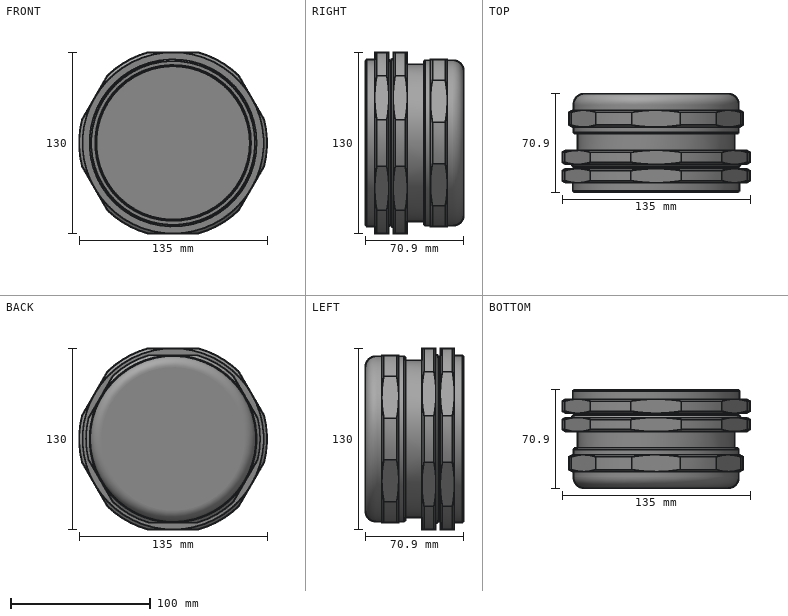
import cadquery as cq
import math

total_length = 70.85

ring_diameter = 120.0
ring_chamfer = 1.25
recess_diameter = 110.0
recess_rim_diameter = 112.0
recess_depth = 7.0

nut_thickness = 10.0
nut_across_flats = 130.0
front_nut_start = 6.9
rear_nut_start = 20.1

groove_diameter = 117.0
lip_diameter = 121.2
lip_radius = 1.5

neck_diameter = 113.0

cap_diameter = 119.0
cap_length = 29.0
cap_chamfer = 1.2
dome_radius = 8.0
cap_hex_across_flats = 120.0
cap_hex_thickness = 12.0
cap_hex_offset = 5.0

corner_allowance = 5.0
corner_chamfer_angle = math.radians(30)

front_nut_end = front_nut_start + nut_thickness
cap_start = total_length - cap_length


def turned(outline):
    """Revolve an outline of (radius, y) points about the Y axis."""
    return outline.close().revolve(360, (0, 0, 0), (0, 1, 0))


def hexagon_ring(across_flats, thickness, start):
    """Hexagon with turned corners, chamfered on both faces down to the flats."""
    flat_radius = across_flats / 2
    corner_radius = (across_flats + corner_allowance) / 2
    chamfer_length = (corner_radius - flat_radius) * math.tan(corner_chamfer_angle)
    end = start + thickness
    turned_blank = turned(
        cq.Workplane("XY")
        .moveTo(0, start)
        .lineTo(flat_radius, start)
        .lineTo(corner_radius, start + chamfer_length)
        .lineTo(corner_radius, end - chamfer_length)
        .lineTo(flat_radius, end)
        .lineTo(0, end)
    )
    corner_to_corner = across_flats / math.cos(math.pi / 6)
    hexagon = (
        cq.Workplane("XZ", origin=(0, start, 0))
        .polygon(6, corner_to_corner)
        .extrude(-thickness)
    )
    return turned_blank.intersect(hexagon)


def front_body():
    """Chamfered ring at the open end, then the groove, the sealing lip and the neck."""
    ring_radius = ring_diameter / 2
    ring_end = front_nut_end + ring_chamfer
    groove_radius = groove_diameter / 2
    lip_center_radius = lip_diameter / 2 - lip_radius
    lip_diagonal = lip_radius * math.sqrt(0.5)
    return turned(
        cq.Workplane("XY")
        .moveTo(0, 0)
        .lineTo(ring_radius - ring_chamfer, 0)
        .lineTo(ring_radius, ring_chamfer)
        .lineTo(ring_radius, front_nut_end)
        .lineTo(ring_radius - ring_chamfer, ring_end)
        .lineTo(groove_radius, ring_end)
        .lineTo(groove_radius, rear_nut_start - lip_radius)
        .lineTo(lip_center_radius, rear_nut_start - lip_radius)
        .threePointArc(
            (lip_center_radius + lip_diagonal, rear_nut_start - lip_diagonal),
            (lip_center_radius + lip_radius, rear_nut_start),
        )
        .lineTo(neck_diameter / 2, rear_nut_start)
        .lineTo(neck_diameter / 2, cap_start)
        .lineTo(0, cap_start)
    )


def domed_cap():
    """Cap with a chamfered front edge and a rounded rear edge."""
    cap_radius = cap_diameter / 2
    dome_start = total_length - dome_radius
    arc_inset = dome_radius * (1 - math.sqrt(0.5))
    return turned(
        cq.Workplane("XY")
        .moveTo(0, cap_start)
        .lineTo(cap_radius - cap_chamfer, cap_start)
        .lineTo(cap_radius, cap_start + cap_chamfer)
        .lineTo(cap_radius, dome_start)
        .threePointArc(
            (cap_radius - arc_inset, total_length - arc_inset),
            (cap_radius - dome_radius, total_length),
        )
        .lineTo(0, total_length)
    )


def front_recess():
    """Blind round recess with a chamfered rim."""
    recess_radius = recess_diameter / 2
    rim_radius = recess_rim_diameter / 2
    return turned(
        cq.Workplane("XY")
        .moveTo(0, 0)
        .lineTo(rim_radius, 0)
        .lineTo(recess_radius, rim_radius - recess_radius)
        .lineTo(recess_radius, recess_depth)
        .lineTo(0, recess_depth)
    )


result = front_body().union(domed_cap())
for nut_start in (front_nut_start, rear_nut_start):
    result = result.union(hexagon_ring(nut_across_flats, nut_thickness, nut_start))
cap_hex = hexagon_ring(cap_hex_across_flats, cap_hex_thickness, cap_start + cap_hex_offset)
result = result.union(cap_hex).cut(front_recess())